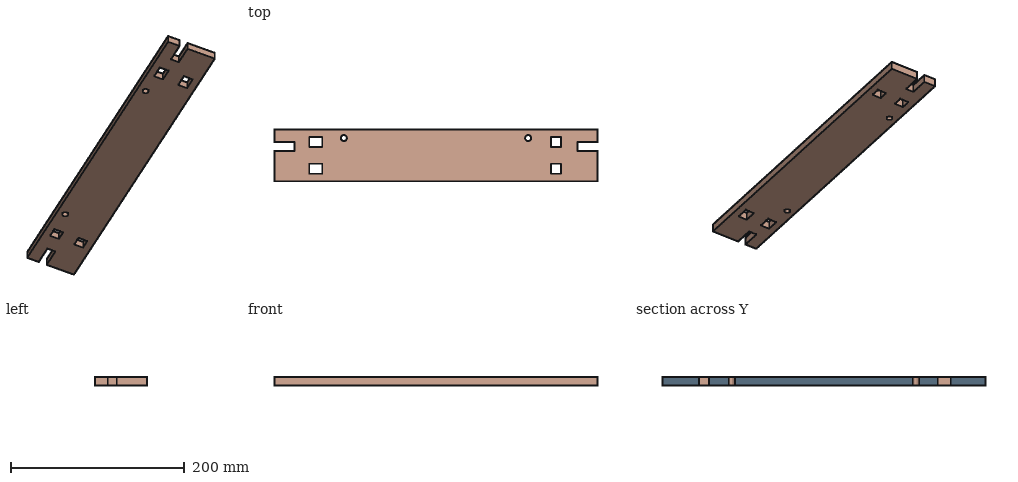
import cadquery as cq

length = 372.0
width = 60.0
thickness = 10.0

notch_depth = 23.0
notch_width = thickness
notch_from_back = 15.0

window_height = 11.0
window_from_side = 9.0
left_window_length = 15.0
left_window_from_end = 40.0
right_window_length = 11.0
right_window_from_end = 42.5

hole_diameter = 6.7
hole_from_end = 80.0
hole_from_back = 10.0

half_length = length / 2
half_width = width / 2


def through_box(size_x, size_y, x, y):
    """Rectangular cutter through the full thickness, centred at (x, y)."""
    return cq.Workplane("XY").center(x, y).rect(size_x, size_y).extrude(thickness)


result = cq.Workplane("XY").rect(length, width).extrude(thickness)

notch_y = half_width - notch_from_back - notch_width / 2
for end in (-1, 1):
    notch_x = end * (half_length - notch_depth / 2)
    result = result.cut(through_box(notch_depth, notch_width, notch_x, notch_y))

window_y = half_width - window_from_side - window_height / 2
windows = (
    (-1, left_window_length, left_window_from_end),
    (1, right_window_length, right_window_from_end),
)
for end, window_length, from_end in windows:
    window_x = end * (half_length - from_end - window_length / 2)
    for side in (-1, 1):
        result = result.cut(through_box(window_length, window_height, window_x, side * window_y))

hole_x = half_length - hole_from_end
hole_y = half_width - hole_from_back
holes = (
    cq.Workplane("XY")
    .pushPoints([(-hole_x, hole_y), (hole_x, hole_y)])
    .circle(hole_diameter / 2)
    .extrude(thickness)
)
result = result.cut(holes)